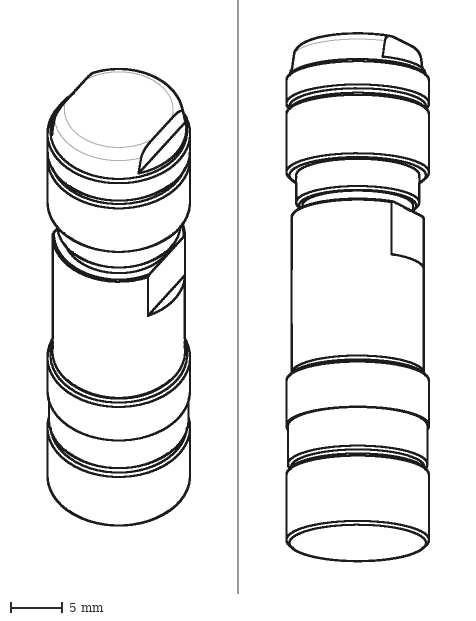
import cadquery as cq

TOTAL_HEIGHT = 50.3
OUTER_RADIUS = 7.0
EDGE_CHAMFER = 0.3

FOOT_TOP = 7.25

COLLAR_BOTTOM = 7.7
COLLAR_STEP = 11.9
COLLAR_TOP = 16.8
COLLAR_LOWER_RADIUS = 6.85

SHAFT_RADIUS = 3.0

BARREL_RADIUS = 6.5
BARREL_TOP = 33.25
BARREL_BOTTOM = 16.9
BARREL_BOTTOM_CHAMFER = 0.35
BARREL_TOP_CHAMFER = 0.15
SEAT_RADIUS = BARREL_RADIUS - BARREL_BOTTOM_CHAMFER

NECK_RADIUS = 5.45
SHOULDER_RADIUS = 6.05
SHOULDER_BOTTOM = 34.3

HEAD_BOTTOM = 37.4
GROOVE_BOTTOM = 43.9
GROOVE_TOP = 44.35
HEAD_TOP = 47.35
GROOVE_RADIUS = OUTER_RADIUS - EDGE_CHAMFER

CROWN_BASE_RADIUS = OUTER_RADIUS - EDGE_CHAMFER
CROWN_TAPER = 10.0
CROWN_FILLET = 1.0

FLAT_ANGLE = 16.5
CROWN_FLAT_DISTANCE = 5.05
CROWN_FLAT_BOTTOM = 47.75
BARREL_FLAT_DISTANCE = 5.55
BARREL_FLAT_BOTTOM = 27.8


def disc(radius, bottom, top, bottom_chamfer=0.0, top_chamfer=0.0):
    """Round disc on the Z axis with optional chamfers on its two rims."""
    body = cq.Workplane("XY").workplane(offset=bottom).circle(radius).extrude(top - bottom)
    if bottom_chamfer:
        body = body.faces("<Z").chamfer(bottom_chamfer)
    if top_chamfer:
        body = body.faces(">Z").chamfer(top_chamfer)
    return body


def crown():
    """Tapered crown on the head, with its top rim rounded."""
    height = TOTAL_HEIGHT - HEAD_TOP
    cone = (
        cq.Workplane("XY")
        .workplane(offset=HEAD_TOP)
        .circle(CROWN_BASE_RADIUS)
        .extrude(height, taper=CROWN_TAPER)
    )
    return cone.faces(">Z").edges().fillet(CROWN_FILLET)


def flat_cutters(distance, bottom, top):
    """Two blocks that leave a pair of parallel flats at the given distance from the axis."""
    depth = OUTER_RADIUS
    width = 2 * OUTER_RADIUS
    centre = distance + depth / 2
    return (
        cq.Workplane("XY")
        .workplane(offset=bottom)
        .pushPoints([(-centre, 0), (centre, 0)])
        .rect(depth, width)
        .extrude(top - bottom)
        .rotate((0, 0, 0), (0, 0, 1), -FLAT_ANGLE)
    )


def make_spindle():
    """Foot, shaft, barrel, neck, head and crown, turned from one piece."""
    barrel = disc(BARREL_RADIUS, BARREL_BOTTOM, BARREL_TOP, BARREL_BOTTOM_CHAMFER, BARREL_TOP_CHAMFER)
    barrel = barrel.cut(flat_cutters(BARREL_FLAT_DISTANCE, BARREL_FLAT_BOTTOM, BARREL_TOP))
    top = crown().cut(flat_cutters(CROWN_FLAT_DISTANCE, CROWN_FLAT_BOTTOM, TOTAL_HEIGHT))
    return (
        disc(OUTER_RADIUS, 0, FOOT_TOP, EDGE_CHAMFER, EDGE_CHAMFER)
        .union(disc(SHAFT_RADIUS, FOOT_TOP, COLLAR_TOP))
        .union(disc(SEAT_RADIUS, COLLAR_TOP, BARREL_BOTTOM))
        .union(barrel)
        .union(disc(NECK_RADIUS, BARREL_TOP, SHOULDER_BOTTOM))
        .union(disc(SHOULDER_RADIUS, SHOULDER_BOTTOM, HEAD_BOTTOM, EDGE_CHAMFER))
        .union(disc(OUTER_RADIUS, HEAD_BOTTOM, GROOVE_BOTTOM, EDGE_CHAMFER, EDGE_CHAMFER))
        .union(disc(GROOVE_RADIUS, GROOVE_BOTTOM, GROOVE_TOP))
        .union(disc(OUTER_RADIUS, GROOVE_TOP, HEAD_TOP, EDGE_CHAMFER, EDGE_CHAMFER))
        .union(top)
    )


def make_collar():
    """Two-step ring that fits around the shaft, its top face against the barrel."""
    lower = disc(COLLAR_LOWER_RADIUS, COLLAR_BOTTOM, COLLAR_STEP, EDGE_CHAMFER)
    upper = disc(OUTER_RADIUS, COLLAR_STEP, COLLAR_TOP, 0, EDGE_CHAMFER)
    return lower.union(upper).cut(disc(SHAFT_RADIUS, COLLAR_BOTTOM, COLLAR_TOP))


spindle = make_spindle()
collar = make_collar()
result = cq.Compound.makeCompound([spindle.val(), collar.val()])